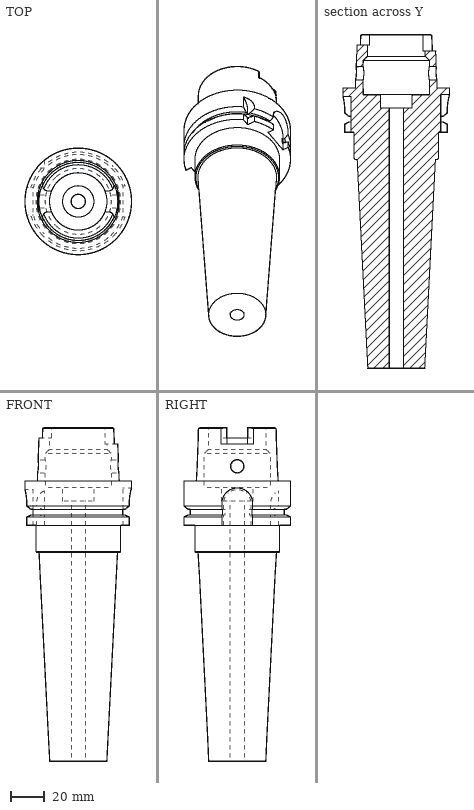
import cadquery as cq
import math

total_length = 197.0
neck_bottom = 123.1
flange_bottom = 139.3
flange_top = 144.2
groove_bottom = 145.4
groove_top = 148.7
collar_bottom = 150.7
collar_top = 165.5

nose_radius = 17.0
nose_top_radius = 23.2
neck_radius = 25.0
neck_chamfer = 0.5
collar_radius = 31.5
groove_radius = 27.8
groove_lip_radius = 29.2
shank_base_radius = 24.2
shank_tip_radius = 23.0
shank_chamfer_height = 0.5
shank_chamfer_width = 1.4

mouth_radius = 17.0
mouth_depth = 12.8
undercut_radius = 19.5
undercut_slope = undercut_radius - mouth_radius
cavity_floor = 161.5
counterbore_radius = 9.3
counterbore_depth = 7.9
through_radius = 4.1

end_slot_width = 12.2
end_slot_rounding = 3.3
left_end_slot_depth = 6.1
right_end_slot_depth = 9.7

left_key_radius = 8.0
right_key_radius = 9.0
slot_center_z = 152.3
left_key_floor_x = 26.8
right_key_floor_x = 26.4
notch_radius = left_key_radius
notch_floor_x = 19.9
notch_center_y = 27.8

cross_hole_diameter = 7.7
cross_hole_z = 174.1


def revolve_profile(points):
    """Revolve a closed (radius, height) outline about the Z axis."""
    return cq.Workplane("XZ").polyline(points).close().revolve(360, (0, 0), (0, 1))


def outer_body():
    return revolve_profile([
        (0, 0),
        (nose_radius, 0),
        (nose_top_radius, neck_bottom),
        (neck_radius - neck_chamfer, neck_bottom),
        (neck_radius, neck_bottom + neck_chamfer),
        (neck_radius, flange_bottom),
        (collar_radius, flange_bottom),
        (collar_radius, flange_top),
        (groove_lip_radius, groove_bottom),
        (groove_radius, groove_bottom),
        (groove_radius, groove_top),
        (groove_lip_radius, groove_top),
        (collar_radius, collar_bottom),
        (collar_radius, collar_top),
        (shank_base_radius, collar_top),
        (shank_tip_radius, total_length - shank_chamfer_height),
        (shank_tip_radius - shank_chamfer_width, total_length),
        (0, total_length),
    ])


def bore():
    mouth_bottom = total_length - mouth_depth
    counterbore_floor = cavity_floor - counterbore_depth
    return revolve_profile([
        (0, 0),
        (through_radius, 0),
        (through_radius, counterbore_floor),
        (counterbore_radius, counterbore_floor),
        (counterbore_radius, cavity_floor),
        (undercut_radius, cavity_floor),
        (undercut_radius, mouth_bottom - undercut_slope),
        (mouth_radius, mouth_bottom),
        (mouth_radius, total_length),
        (0, total_length),
    ])


def end_slot(side, depth):
    """Slot through the shank wall on the -X or +X side, flared by rounded outer corners."""
    half_width = end_slot_width / 2
    flare_half_width = half_width + end_slot_rounding
    flare_end = math.sqrt(shank_tip_radius**2 - flare_half_width**2)
    flare_start = flare_end - end_slot_rounding
    diagonal = end_slot_rounding * math.sqrt(0.5)
    arc_x = flare_start + diagonal
    arc_y = flare_half_width - diagonal
    return (
        cq.Workplane("XY", origin=(0, 0, total_length - depth))
        .moveTo(0, -half_width)
        .lineTo(side * flare_start, -half_width)
        .threePointArc((side * arc_x, -arc_y), (side * flare_end, -flare_half_width))
        .lineTo(side * collar_radius, -flare_half_width)
        .lineTo(side * collar_radius, flare_half_width)
        .lineTo(side * flare_end, flare_half_width)
        .threePointArc((side * arc_x, arc_y), (side * flare_start, half_width))
        .lineTo(0, half_width)
        .close()
        .extrude(depth)
    )


def collar_slot(side, radius, floor_x, center_y):
    """Round-topped slot milled along X into the collar, open at the flange underside."""
    return (
        cq.Workplane("YZ", origin=(side * floor_x, 0, 0))
        .moveTo(center_y - radius, flange_bottom)
        .lineTo(center_y - radius, slot_center_z)
        .threePointArc((center_y, slot_center_z + radius), (center_y + radius, slot_center_z))
        .lineTo(center_y + radius, flange_bottom)
        .close()
        .extrude(side * collar_radius)
    )


def cross_hole():
    return (
        cq.Workplane("YZ", origin=(0, 0, cross_hole_z))
        .circle(cross_hole_diameter / 2)
        .extrude(collar_radius, both=True)
    )


result = (
    outer_body()
    .cut(bore())
    .cut(end_slot(-1, left_end_slot_depth))
    .cut(end_slot(1, right_end_slot_depth))
    .cut(collar_slot(-1, left_key_radius, left_key_floor_x, 0))
    .cut(collar_slot(1, right_key_radius, right_key_floor_x, 0))
    .cut(collar_slot(-1, notch_radius, notch_floor_x, notch_center_y))
    .cut(cross_hole())
)